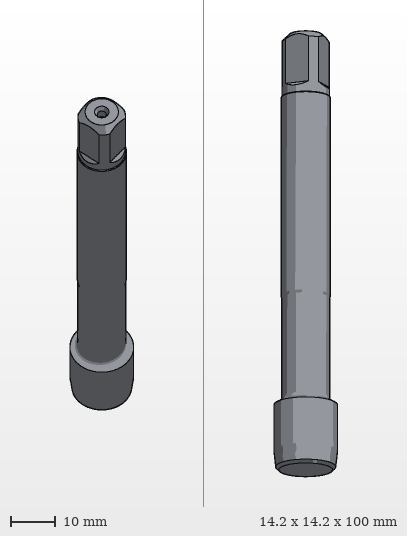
import cadquery as cq
import math

total_length = 100.0
head_radius = 14.2 / 2
taper_height = 4.3
tip_radius = 6.7
tip_chamfer = 0.7
head_top = 14.9

neck_radius = 10.7 / 2
shoulder_angle = math.radians(30)
neck_fillet = 1.2
fillet_turn = math.pi / 2 - shoulder_angle
shoulder_radius = neck_radius + neck_fillet * (1 - math.cos(fillet_turn))
shoulder_top = head_top + (head_radius - shoulder_radius) * math.tan(shoulder_angle)
neck_start = shoulder_top + neck_fillet * math.sin(fillet_turn)

shank_radius = 11 / 2
shank_bottom = 40.0
shank_bottom_chamfer = 0.6
shank_top = 85.7

drive_radius = 10.6 / 2
shank_top_chamfer = shank_radius - drive_radius
drive_width = 9.0
flat_bottom = 88.1
drive_chamfer = 1.6

hole_radius = 2 / 2
countersink_radius = 1.6
countersink_depth = 1.0
hole_depth = 3.0
hole_cone_depth = 0.6


def revolve_profile(profile):
    """Turn a closed radius-height profile about the Z axis."""
    return profile.close().revolve(360, (0, 0, 0), (0, 1, 0))


def make_head():
    """Cutting head with a tapered, chamfered lead at its lower end."""
    profile = (
        cq.Workplane("XZ")
        .lineTo(tip_radius - tip_chamfer, 0)
        .lineTo(tip_radius, tip_chamfer)
        .lineTo(head_radius, taper_height)
        .lineTo(head_radius, head_top)
        .lineTo(0, head_top)
    )
    return revolve_profile(profile)


def make_turned_shank():
    """Conical shoulder, filleted neck, shank and round drive end."""
    profile = (
        cq.Workplane("XZ")
        .moveTo(0, head_top)
        .lineTo(head_radius, head_top)
        .lineTo(shoulder_radius, shoulder_top)
        .radiusArc((neck_radius, neck_start), neck_fillet)
        .lineTo(neck_radius, shank_bottom - shank_bottom_chamfer)
        .lineTo(shank_radius, shank_bottom)
        .lineTo(shank_radius, shank_top - shank_top_chamfer)
        .lineTo(drive_radius, shank_top)
        .lineTo(drive_radius, total_length - drive_chamfer)
        .lineTo(drive_radius - drive_chamfer, total_length)
        .lineTo(0, total_length)
    )
    return revolve_profile(profile)


def make_flat_cutter():
    """Cutter for one drive flat, with a 45 degree run-out at the bottom."""
    inner = drive_width / 2
    outer = shank_radius
    return (
        cq.Workplane("XZ")
        .moveTo(inner, flat_bottom)
        .lineTo(outer, flat_bottom - (outer - inner))
        .lineTo(outer, total_length)
        .lineTo(inner, total_length)
        .close()
        .extrude(shank_radius, both=True)
    )


def make_centre_hole():
    """Countersunk blind hole with a conical bottom."""
    profile = (
        cq.Workplane("XZ")
        .moveTo(0, total_length)
        .lineTo(countersink_radius, total_length)
        .lineTo(hole_radius, total_length - countersink_depth)
        .lineTo(hole_radius, total_length - hole_depth)
        .lineTo(0, total_length - hole_depth - hole_cone_depth)
    )
    return revolve_profile(profile)


def make_shank():
    """Shank with its four drive flats and centre hole."""
    body = make_turned_shank().cut(make_centre_hole())
    for angle in range(0, 360, 90):
        body = body.cut(make_flat_cutter().rotate((0, 0, 0), (0, 0, 1), angle))
    return body


head = make_head()
shank = make_shank()

result = cq.Compound.makeCompound([head.val(), shank.val()])